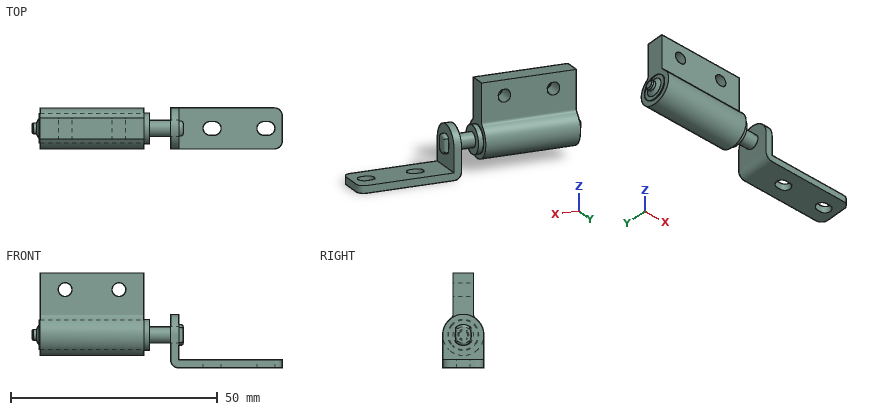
import cadquery as cq


barrel_radius = 4.99
axis_height = 8.0
hole_diameter = 3.25
hole_spacing = 13.0

leaf_start = 1.95
leaf_length = 25.1
leaf_top = 23.0
plate_thickness = 5.0
root_fillet = 1.0
leaf_hole_inset = 6.05
leaf_hole_height = 18.95

bracket_start = 33.45
bracket_end = 60.5
strip_thickness = 2.0
bend_radius = 2.0
corner_radius = 2.0
slot_length = 4.3
outer_slot_inset = 4.0

tip_radius = 1.35
tip_chamfer = 0.3
cone_start = 1.0
cone_end = 1.7
cone_base_radius = 2.5
cartridge_radius = 3.55
collar_radius = 3.75
collar_length = 1.4
shaft_radius = 2.0
head_radius = 2.55
head_length = 1.1
head_width = 3.6
head_fillet = 0.65

leaf_end = leaf_start + leaf_length
collar_end = leaf_end + collar_length
ear_end = bracket_start + strip_thickness
head_end = ear_end + head_length


def axial_cylinder(radius, start, end):
    """Cylinder on the hinge axis between two X positions."""
    return (
        cq.Workplane("YZ", origin=(start, 0, axis_height))
        .circle(radius)
        .extrude(end - start)
    )


def make_leaf():
    plate_height = leaf_top - axis_height
    plate = cq.Workplane("XY").box(
        leaf_length, plate_thickness, plate_height, centered=(False, True, False)
    ).translate((leaf_start, 0, axis_height))
    leaf = axial_cylinder(barrel_radius, leaf_start, leaf_end).union(plate)

    root_height = axis_height + (barrel_radius**2 - (plate_thickness / 2) ** 2) ** 0.5
    for side in (-1, 1):
        root_point = (leaf_start + leaf_length / 2, side * plate_thickness / 2, root_height)
        leaf = leaf.edges(cq.selectors.NearestToPointSelector(root_point)).fillet(root_fillet)

    first_hole = leaf_start + leaf_hole_inset
    holes = (
        cq.Workplane("XZ")
        .pushPoints([(first_hole + i * hole_spacing, leaf_hole_height) for i in range(2)])
        .circle(hole_diameter / 2)
        .extrude(plate_thickness, both=True)
    )
    bore = axial_cylinder(cartridge_radius, leaf_start, leaf_end)
    return leaf.cut(holes).cut(bore)


def make_head(radius, width):
    """Round rivet head with two flats and a rounded outer rim."""
    flats = cq.Workplane("XY").box(
        head_length, width, 2 * radius, centered=(False, True, True)
    ).translate((ear_end, 0, axis_height))
    head = axial_cylinder(radius, ear_end, head_end).intersect(flats)
    return head.faces(">X").edges().fillet(head_fillet)


def make_pin():
    body = (
        cq.Workplane("XY")
        .moveTo(0, 0)
        .lineTo(0, tip_radius - tip_chamfer)
        .lineTo(tip_chamfer, tip_radius)
        .lineTo(cone_start, tip_radius)
        .lineTo(cone_end, cone_base_radius)
        .lineTo(cone_end, cartridge_radius)
        .lineTo(leaf_end, cartridge_radius)
        .lineTo(leaf_end, collar_radius)
        .lineTo(collar_end, collar_radius)
        .lineTo(collar_end, shaft_radius)
        .lineTo(ear_end, shaft_radius)
        .lineTo(ear_end, 0)
        .close()
        .revolve(360, (0, 0, 0), (1, 0, 0))
        .translate((0, 0, axis_height))
    )
    return body.union(make_head(head_radius, head_width))


def make_bracket():
    width = 2 * barrel_radius
    ear = axial_cylinder(barrel_radius, bracket_start, ear_end)
    upright = cq.Workplane("XY").box(
        strip_thickness, width, axis_height, centered=(False, True, False)
    ).translate((bracket_start, 0, 0))
    foot = cq.Workplane("XY").box(
        bracket_end - bracket_start, width, strip_thickness, centered=(False, True, False)
    ).translate((bracket_start, 0, 0)).edges("|Z and >X").fillet(corner_radius)
    bracket = upright.union(foot).edges("|Y and <X and <Z").fillet(bend_radius).union(ear)

    outer_slot = bracket_end - outer_slot_inset
    slots = (
        cq.Workplane("XY")
        .pushPoints([(outer_slot - i * hole_spacing, 0) for i in range(2)])
        .slot2D(slot_length, hole_diameter)
        .extrude(strip_thickness)
    )
    pin_hole = axial_cylinder(shaft_radius, bracket_start, ear_end)
    return bracket.cut(slots).cut(pin_hole)


leaf = make_leaf()
pin = make_pin()
bracket = make_bracket()

bodies = [leaf, pin, bracket]
result = cq.Compound.makeCompound([body.solids().val() for body in bodies])